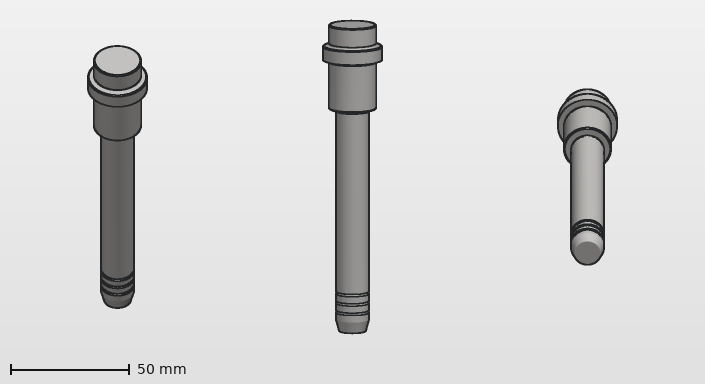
import cadquery as cq
import math

total_length = 131.0
collar_diameter = 25.0
body_diameter = 20.0
pin_diameter = 14.0

head_length = 8.0
relief_width = 1.0
collar_length = 6.0
body_length = 20.0

edge_chamfer = 0.5
pin_neck_depth = 0.5

groove_count = 3
groove_pitch = 4.0
groove_width = 1.0
lowest_groove_bottom = 8.0

tip_length = 5.0
tip_angle = math.radians(15.0)
tip_fillet = 0.5

collar_top = total_length - head_length - relief_width
collar_bottom = collar_top - collar_length
body_top = collar_bottom - relief_width
body_bottom = body_top - body_length
pin_top = body_bottom - relief_width


def cylinder(diameter, bottom, top):
    """Solid cylinder on the Z axis between two levels."""
    return cq.Workplane("XY").workplane(offset=bottom).circle(diameter / 2).extrude(top - bottom)


def round_groove(diameter, bottom, width):
    """Ring with a half-round section, centred on the surface of a cylinder."""
    return (
        cq.Workplane("XZ")
        .center(diameter / 2, bottom + width / 2)
        .circle(width / 2)
        .revolve(360, (-diameter / 2, 0, 0), (-diameter / 2, 1, 0))
    )


def make_body():
    """Cylinder that forms the head above the collar and the body below it."""
    body = cylinder(body_diameter, body_bottom, total_length)
    body = body.faces("<Z or >Z").edges().chamfer(edge_chamfer)
    for bottom in (body_top, collar_top):
        body = body.cut(round_groove(body_diameter, bottom, relief_width))
    return body


def make_collar():
    collar = cylinder(collar_diameter, collar_bottom, collar_top)
    return collar.faces(">Z").edges().chamfer(edge_chamfer)


def make_pin():
    """Pin shank with its conical tip and the ring grooves above the cone."""
    tip_radius = pin_diameter / 2 - tip_length * math.tan(tip_angle)
    tip = cq.Solid.makeCone(tip_radius, pin_diameter / 2, tip_length)
    tip = cq.Workplane(tip).faces("<Z").edges().fillet(tip_fillet)
    pin = tip.union(cylinder(pin_diameter, tip_length, pin_top))
    for index in range(groove_count):
        bottom = lowest_groove_bottom + index * groove_pitch
        pin = pin.cut(round_groove(pin_diameter, bottom, groove_width))
    return pin


def make_pin_neck():
    return cylinder(pin_diameter - 2 * pin_neck_depth, pin_top, body_bottom)


result = make_body().union(make_collar()).union(make_pin_neck()).union(make_pin())